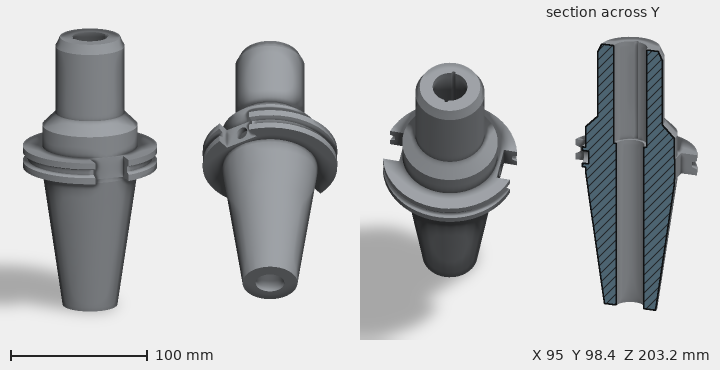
import cadquery as cq

INCH = 25.4

TAPER_LENGTH = 4 * INCH
PROJECTION = 4 * INCH
GAUGE_DIAMETER = 2.75 * INCH
TAPER_RATIO = 7 / 24

FLANGE_DIAMETER = 3.875 * INCH
FLANGE_BOTTOM = 0.125 * INCH
FLANGE_WIDTH = 0.625 * INCH
GROOVE_FLOOR_DIAMETER = 91.2
GROOVE_FLOOR_WIDTH = 3.85
GROOVE_MOUTH_WIDTH = 6.6

SLOT_WIDTH = 1.02 * INCH
SLOT_DISTANCE_LEFT = 37.6
SLOT_DISTANCE_RIGHT = 35.3
DIMPLE_DIAMETER = 9.6
DIMPLE_DEPTH = 5.0

NECK_TOP = 1.375 * INCH
NOSE_DIAMETER = 2 * INCH
NOSE_CHAMFER_RADIAL = 3.25
NOSE_CHAMFER_HEIGHT = 6.9

TOOL_BORE_DIAMETER = 1 * INCH
TOOL_BORE_DEPTH = 3 * INCH
THROUGH_HOLE_DIAMETER = 21.0
COOLANT_GROOVE_DIAMETER = 0.125 * INCH

gauge_radius = GAUGE_DIAMETER / 2
taper_end_radius = gauge_radius - TAPER_LENGTH * TAPER_RATIO / 2
flange_radius = FLANGE_DIAMETER / 2
flange_top = FLANGE_BOTTOM + FLANGE_WIDTH
flange_middle = FLANGE_BOTTOM + FLANGE_WIDTH / 2
groove_floor_radius = GROOVE_FLOOR_DIAMETER / 2
nose_radius = NOSE_DIAMETER / 2
shoulder_height = gauge_radius - nose_radius
tool_bore_bottom = PROJECTION - TOOL_BORE_DEPTH


def turned_body():
    """Revolve the half outline (radius, height) about the Z axis."""
    outline = [
        (0, -TAPER_LENGTH),
        (taper_end_radius, -TAPER_LENGTH),
        (gauge_radius, 0),
        (gauge_radius, FLANGE_BOTTOM),
        (flange_radius, FLANGE_BOTTOM),
        (flange_radius, flange_middle - GROOVE_MOUTH_WIDTH / 2),
        (groove_floor_radius, flange_middle - GROOVE_FLOOR_WIDTH / 2),
        (groove_floor_radius, flange_middle + GROOVE_FLOOR_WIDTH / 2),
        (flange_radius, flange_middle + GROOVE_MOUTH_WIDTH / 2),
        (flange_radius, flange_top),
        (gauge_radius, flange_top),
        (gauge_radius, NECK_TOP),
        (nose_radius, NECK_TOP + shoulder_height),
        (nose_radius, PROJECTION - NOSE_CHAMFER_HEIGHT),
        (nose_radius - NOSE_CHAMFER_RADIAL, PROJECTION),
        (0, PROJECTION),
    ]
    return cq.Workplane("XZ").polyline(outline).close().revolve(360, (0, 0), (0, 1))


def drive_slot(side, floor_distance):
    """Block that opens one drive slot; side is -1 or +1 along X."""
    depth = flange_radius - floor_distance
    return (
        cq.Workplane("XY", origin=(side * (floor_distance + depth / 2), 0, flange_middle))
        .box(depth, SLOT_WIDTH, FLANGE_WIDTH)
    )


def slot_dimple():
    """Blind round hole in the floor of the -X drive slot."""
    return (
        cq.Workplane("YZ", origin=(-SLOT_DISTANCE_LEFT, 0, flange_middle))
        .circle(DIMPLE_DIAMETER / 2)
        .extrude(DIMPLE_DEPTH)
    )


def tool_bore():
    """Bore from the nose, with a coolant groove along its wall at +Y and -Y."""
    tool_bore_radius = TOOL_BORE_DIAMETER / 2
    base = cq.Workplane("XY", origin=(0, 0, tool_bore_bottom))
    bore = base.circle(tool_bore_radius).extrude(TOOL_BORE_DEPTH)
    grooves = (
        base.pushPoints([(0, tool_bore_radius), (0, -tool_bore_radius)])
        .circle(COOLANT_GROOVE_DIAMETER / 2)
        .extrude(TOOL_BORE_DEPTH)
    )
    return bore.union(grooves)


def through_hole():
    """Hole from the small end of the taper up into the tool bore."""
    return (
        cq.Workplane("XY", origin=(0, 0, -TAPER_LENGTH))
        .circle(THROUGH_HOLE_DIAMETER / 2)
        .extrude(TAPER_LENGTH + tool_bore_bottom)
    )


result = (
    turned_body()
    .cut(drive_slot(-1, SLOT_DISTANCE_LEFT))
    .cut(drive_slot(1, SLOT_DISTANCE_RIGHT))
    .cut(slot_dimple())
    .cut(tool_bore())
    .cut(through_hole())
)